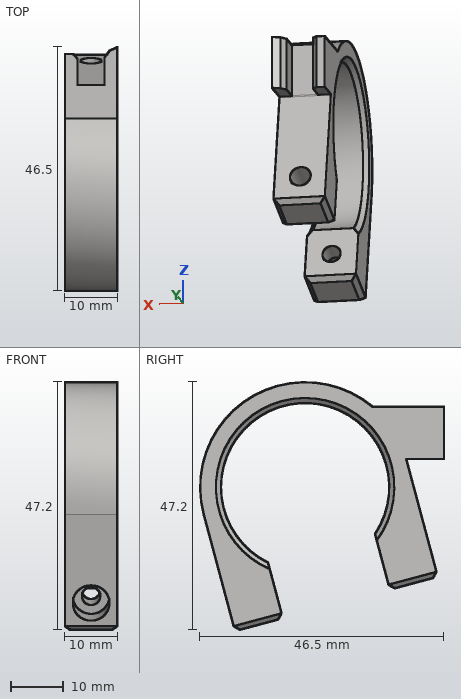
import cadquery as cq

width = 10.0
outer_radius = 20.0
bore_radius = 16.0
bore_chamfer = 1.0

arm_tilt = 15
gap_half = 10.53
arm_length = 23.05
tip_chamfer = 1.0
arm_thickness = outer_radius - gap_half

bolt_drop = 17.45
bolt_diameter = 3.5
head_diameter = 7.0
head_depth = 5.0
far_hole_diameter = 4.0

lug_top = 15.35
lug_height = 10.0
slot_half = 2.55
slot_floor = 19.25
short_prong_end = 25.15
short_prong_land = 3.4
short_prong_root = 24.15
long_prong_end = 26.5
long_prong_knee = (3.5, 25.75)
long_prong_root = 24.45


def x_cylinder(radius):
    """Cylinder along X, as long as the clamp is wide."""
    return cq.Workplane("YZ").circle(radius).extrude(width / 2, both=True)


def make_arm(side):
    """Upright arm on one side, with its lower tip chamfered all round."""
    arm_centre = side * (gap_half + arm_thickness / 2)
    arm = cq.Workplane("XY").box(width, arm_thickness, arm_length, centered=(True, True, False))
    arm = arm.translate((0, arm_centre, -arm_length))
    return arm.faces("<Z").chamfer(tip_chamfer)


def y_hole(diameter, start, length):
    """Cutter for a hole running toward +Y at the height of the bolt."""
    return cq.Workplane(
        cq.Solid.makeCylinder(diameter / 2, length, cq.Vector(0, start, -bolt_drop), cq.Vector(0, 1, 0))
    )


def make_lug():
    """Block with a vertical slot between a short and a long prong."""
    half_width = width / 2
    outline = [
        (-half_width, 0),
        (-half_width, short_prong_end),
        (-short_prong_land, short_prong_end),
        (-slot_half, short_prong_root),
        (-slot_half, slot_floor),
        (slot_half, slot_floor),
        (slot_half, long_prong_root),
        long_prong_knee,
        (half_width, long_prong_end),
        (half_width, 0),
    ]
    return cq.Workplane("XY").workplane(offset=lug_top - lug_height).polyline(outline).close().extrude(lug_height)


def make_bore():
    """Bore cutter, widened by a chamfer at both faces."""
    bore = x_cylinder(bore_radius)
    for side in (-1, 1):
        flare = (
            cq.Workplane("YZ", origin=(side * width / 2, 0, 0))
            .circle(bore_radius + bore_chamfer)
            .workplane(offset=-side * bore_chamfer)
            .circle(bore_radius)
            .loft(ruled=True)
        )
        bore = bore.union(flare)
    return bore


clamp = x_cylinder(outer_radius)
gap = cq.Workplane("XY").box(width, 2 * gap_half, outer_radius, centered=(True, True, False))
clamp = clamp.cut(gap.translate((0, 0, -outer_radius)))
for arm_side in (-1, 1):
    clamp = clamp.union(make_arm(arm_side))

clamp = clamp.cut(y_hole(bolt_diameter, -outer_radius, arm_thickness))
clamp = clamp.cut(y_hole(head_diameter, -outer_radius, head_depth))
clamp = clamp.cut(y_hole(far_hole_diameter, gap_half, arm_thickness))

clamp = clamp.rotate((0, 0, 0), (1, 0, 0), arm_tilt)
result = clamp.union(make_lug()).cut(make_bore())